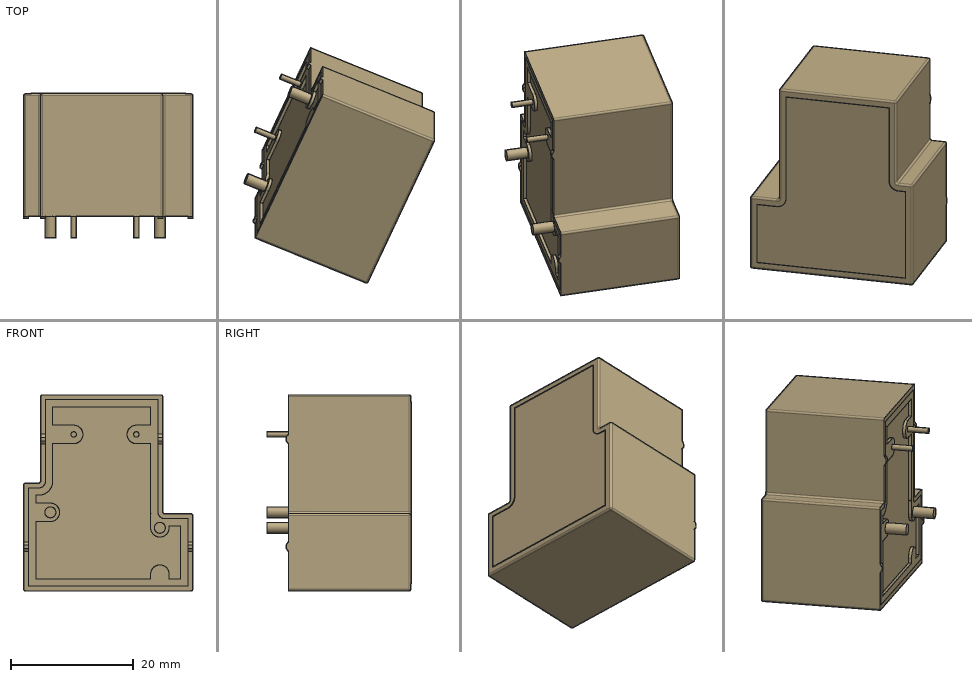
import cadquery as cq


case_width = 27.6
case_height = 32.0
case_depth = 20.0
tower_left = 2.75
tower_right = 22.7
left_shoulder = 17.6
right_shoulder = 12.6
edge_radius = 0.32
wall = 0.8

panel_inset = 1.2
panel_height = 0.112

lug_height = 0.35
lug_foot = 1.6
lug_flat = 0.58
upper_lug_z = 24.77
lower_lug_z = 7.23

rim_inset = 2.0
recess_depth = 0.5
boss_radius = 1.5
blank_boss_z = 2.75

pin_length = 3.5
coil_pin_radius = 0.45
coil_pin_z = 25.55
coil_pin_left_x = 8.15
coil_pin_right_x = 18.37
load_pin_radius = 0.9
load_pin_left = (4.35, 12.83)
load_pin_right = (22.2, 10.3)


def front_plane(y):
    """Workplane facing -Y at depth y; a negative extrusion goes toward +Y."""
    return cq.Workplane("XZ", origin=(0, y, 0))


def stepped_block(inset, y_start, depth):
    """Block with the case outline moved inward by inset, with corners rounded concentrically."""
    left = inset
    right = case_width - inset
    bottom = inset
    top = case_height - inset
    inner_left = tower_left + inset
    inner_right = tower_right - inset
    left_step = left_shoulder - inset
    right_step = right_shoulder - inset

    block = (
        front_plane(y_start)
        .polyline([
            (left, bottom),
            (right, bottom),
            (right, right_step),
            (inner_right, right_step),
            (inner_right, top),
            (inner_left, top),
            (inner_left, left_step),
            (left, left_step),
        ])
        .close()
        .extrude(-depth)
    )

    y_middle = y_start + depth / 2
    for x, z in [(inner_left, left_step), (inner_right, right_step)]:
        inside_corner = cq.selectors.NearestToPointSelector((x, y_middle, z))
        block = block.edges(inside_corner).fillet(edge_radius + inset)

    if inset < edge_radius:
        for x, z in [
            (left, bottom),
            (right, bottom),
            (right, right_step),
            (inner_right, top),
            (inner_left, top),
            (left, left_step),
        ]:
            outside_corner = cq.selectors.NearestToPointSelector((x, y_middle, z))
            block = block.edges(outside_corner).fillet(edge_radius - inset)
    return block


def standoff_lug(x_start, z_center):
    """Trapezoidal lug across the thickness of the case wall."""
    return (
        cq.Workplane("YZ", origin=(x_start, 0, z_center))
        .polyline([
            (0, -lug_foot / 2),
            (-lug_height, -lug_flat / 2),
            (-lug_height, lug_flat / 2),
            (0, lug_foot / 2),
        ])
        .close()
        .extrude(wall)
    )


def make_cavity():
    return stepped_block(wall, 0, case_depth - wall)


def make_case():
    case = stepped_block(0, 0, case_depth).faces(">Y").edges().fillet(edge_radius)
    case = case.union(stepped_block(panel_inset, case_depth, panel_height))
    case = case.cut(make_cavity())
    for x_start, z_center in [
        (tower_left, upper_lug_z),
        (tower_right - wall, upper_lug_z),
        (0, lower_lug_z),
        (case_width - wall, lower_lug_z),
    ]:
        case = case.union(standoff_lug(x_start, z_center))
    return case


def pin_boss(center, rim_point):
    """Round-ended boss reaching from the rim to its center; the run is along X or Z."""
    x, z = center
    rim_x, rim_z = rim_point
    run_x = abs(rim_x - x)
    run_z = abs(rim_z - z)
    round_end = front_plane(0).center(x, z).circle(boss_radius).extrude(-recess_depth)
    web = (
        front_plane(0)
        .center((x + rim_x) / 2, (z + rim_z) / 2)
        .rect(run_x or 2 * boss_radius, run_z or 2 * boss_radius)
        .extrude(-recess_depth)
    )
    return round_end.union(web)


def make_base():
    recess = stepped_block(rim_inset, 0, recess_depth)
    load_left_z = load_pin_left[1]
    load_right_x = load_pin_right[0]
    for center, rim_point in [
        ((coil_pin_left_x, coil_pin_z), (tower_left + wall, coil_pin_z)),
        ((coil_pin_right_x, coil_pin_z), (tower_right - wall, coil_pin_z)),
        (load_pin_left, (wall, load_left_z)),
        (load_pin_right, (load_right_x, right_shoulder)),
        ((load_right_x, blank_boss_z), (load_right_x, wall)),
    ]:
        recess = recess.cut(pin_boss(center, rim_point))
    return make_cavity().cut(recess)


def make_pin(center, radius):
    """Pin standing on the front face of its boss."""
    x, z = center
    return front_plane(0).center(x, z).circle(radius).extrude(pin_length)


case = make_case()
base = make_base()
coil_pins = [make_pin((x, coil_pin_z), coil_pin_radius) for x in (coil_pin_left_x, coil_pin_right_x)]
load_pins = [make_pin(center, load_pin_radius) for center in (load_pin_left, load_pin_right)]

result = cq.Compound.makeCompound(
    [case.val(), base.val()] + [pin.val() for pin in coil_pins + load_pins]
)